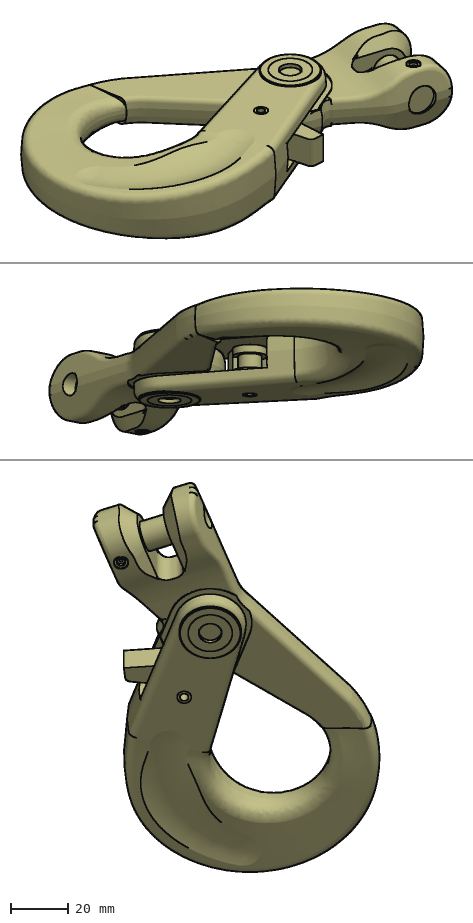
import cadquery as cq
import math


RING_CENTRE_Y = -60.6
HOLE_RADIUS = 21.0
RIM_CENTRE = (7.4, -61.83)
RIM_RADIUS = 44.88
RING_START = 35.0
RING_DRAFT = 4.0
RING_SECTIONS = (
    (RING_START, 11.2, 0.0, 3.0),
    (15.0, 11.5, 0.5, 3.5),
    (0.0, 11.6, 0.9, 4.0),
    (-30.0, 9.6, 0.7, 4.5),
    (-60.0, 8.0, 0.3, 5.0),
    (-90.0, 7.2, 0.0, 5.0),
    (-125.0, 6.9, 0.0, 4.8),
    (-157.0, 6.4, 0.0, 4.4),
    (-203.0, 5.9, 0.0, 4.0),
)
RIM_ROUNDING = 2.8

FORK_HALF = 11.2
FORK_END_RADIUS = 13.0
FORK_OUTER_LEAN = 39.8
FORK_ROUNDING = 2.8
SLOT_HALF = 5.75
SLOT_REACH = 20.0
SLOT_LENGTH = 38.3
PAD_HALF = 11.6
PAD_RADIUS = 10.9
PAD_CHAMFER = 0.35

RECESS_PATH_RADIUS = 37.6
RECESS_ANGLES = (-55.0, 36.0)
RECESS_TUBE_RADIUS = 24.0
RECESS_FLOOR = 8.9
RECESS_TILT = 3.4

LEVER_TOP = 51.9
LEVER_LEFT = -13.6
LEVER_RIGHT = 25.1
LEVER_HALF = 5.4
LEVER_DRAFT = 12.0
LEVER_ROUNDING = 2.0
SHOULDER_LEAN = 22.5
SHOULDER_LENGTH = 19.0
WAIST_TOP = 7.2
WAIST_START = (17.3, 3.8)
WAIST_MID = (16.4, 5.2)
TOOTH_X = 19.4
TOOTH_TOP = 1.7
TOOTH_BOTTOM = -3.1
KNEE_REACH = 2.4
ARM_INNER_LENGTH = 36.0
LEVER_HUB_RADIUS = 19.6
LEVER_ARM_LEAN = 22.3
HOLE_LEAN = 35.0
JOINT_POINT = (-20.6, -54.8)
JOINT_LEAN = 21.0
JOINT_GAP = 0.3
JOINT_OVERLAP = 5.0
HUB_RELIEF_RADIUS = 14.6
HUB_RELIEF_HALF = 4.9

EYE_Y = 39.0
EYE_HALF = 12.05
EYE_END_RADIUS = 10.4
EYE_SHOULDER_Y = 37.2
SHOULDER_RADIUS = 17.0
NECK_Y = 14.8
NECK_RADIUS = 22.0
NECK_SLOPE = 27.0
MOUTH_X = 5.0
MOUTH_HALF = 4.9
MOUTH_BOTTOM = 23.2
MOUTH_CORNER = 4.2
MOUTH_BEVEL_RADIUS = 8.1
MOUTH_BEVEL_REACH = 8.0

PIVOT_DIAMETER = 12.0
PIVOT_HOLE = 12.25
PIVOT_HEAD_DIAMETER = 15.5
PIVOT_HEAD_HEIGHT = 2.0
PIVOT_DIMPLE_DIAMETER = 8.0
PIVOT_DIMPLE_DEPTH = 1.5
CLEVIS_PIN_DIAMETER = 11.0
CLEVIS_PIN_ENDS = (-8.0, 23.6)
DRIFT_HOLE_DIAMETER = 8.0
ROLL_PIN_DIAMETER = 5.0
ROLL_PIN_BORE = 3.0
LOCK_PIN_X = 18.9
LOCK_PIN_HALF = 11.6
LOCK_PIN_CORE = 1.0
LOCK_PIN_RECESS = 1.2

TRIGGER_PIN = (18.1, -22.5)
TRIGGER_HALF = 5.5
TRIGGER_TAIL = (
    TRIGGER_PIN,
    (23.5, -19.0),
    (36.4, -12.6),
    (35.0, -7.1),
    (16.5, -12.3),
    (14.0, -18.0),
)
TRIGGER_TIP_ROUNDING = 2.2
TRIGGER_HUB_RADIUS = 6.0
TRIGGER_GROOVE_HALF = 2.7
TRIGGER_GROOVE_RADIUS = 4.2

STEEP = 0.9
TOLERANCE = 0.1
FAR = 200.0
OVERRUN = 15.0


def polar(centre, radius, degrees):
    angle = math.radians(degrees)
    return (centre[0] + radius * math.cos(angle), centre[1] + radius * math.sin(angle))


def heading(lean):
    """Unit vector that runs down the part, leaning from -Y towards +X."""
    return (math.sin(math.radians(lean)), -math.cos(math.radians(lean)))


def along(point, direction, distance):
    return (point[0] + direction[0] * distance, point[1] + direction[1] * distance)


def crossing(p, u, q, v):
    """Point where the line through p along u meets the line through q along v."""
    det = u[0] * v[1] - u[1] * v[0]
    t = ((q[0] - p[0]) * v[1] - (q[1] - p[1]) * v[0]) / det
    return along(p, u, t)


def cylinder(x, y, diameter, half):
    return cq.Workplane("XY", origin=(x, y, -half)).circle(diameter / 2).extrude(2 * half)


def drafted_plate(outline, half, draft):
    """Plate that is widest at the mid plane and leans in towards both faces."""
    upper = outline.extrude(half, taper=draft)
    return upper.union(upper.mirror("XY"))


def both_faces(radius, inner_half, outer_half):
    """Pair of discs about the pivot axis, one towards each face."""
    discs = cylinder(0, 0, 2 * radius, outer_half)
    return discs.cut(cylinder(0, 0, 2 * radius, inner_half))


RING_CENTRE = (0.0, RING_CENTRE_Y)
FORK_OUTER = heading(FORK_OUTER_LEAN)
FORK_OUTER_START = polar((0, 0), FORK_END_RADIUS, FORK_OUTER_LEAN)
FORK_INNER_FOOT = polar(RING_CENTRE, HOLE_RADIUS, RING_START)


def rim_distance(degrees):
    """Distance from the ring centre to the outer outline at a ring angle."""
    ray = (math.cos(math.radians(degrees)), math.sin(math.radians(degrees)))
    if degrees == RING_START:
        foot = crossing(RING_CENTRE, ray, FORK_OUTER_START, FORK_OUTER)
        return math.dist(foot, RING_CENTRE)
    x = RIM_CENTRE[0] - RING_CENTRE[0]
    y = RIM_CENTRE[1] - RING_CENTRE[1]
    projection = x * ray[0] + y * ray[1]
    return projection + math.sqrt(projection**2 - x**2 - y**2 + RIM_RADIUS**2)


def ring_section(degrees, half, drop, inner_rounding):
    """Closed section wire of the ring in the radial plane at one angle."""
    rim = rim_distance(degrees)
    rim_half = half - drop
    lean = math.tan(math.radians(RING_DRAFT))
    rim_side = rim - lean * (rim_half - RIM_ROUNDING)
    hole_side = HOLE_RADIUS + lean * (half - inner_rounding)
    bulge = 1 - math.sqrt(0.5)

    def halves(sign):
        outer_foot = (rim_side, sign * (rim_half - RIM_ROUNDING))
        outer_mid = (rim_side - bulge * RIM_ROUNDING, sign * (rim_half - bulge * RIM_ROUNDING))
        outer_top = (rim_side - RIM_ROUNDING, sign * rim_half)
        inner_top = (hole_side + inner_rounding, sign * half)
        inner_mid = (hole_side + bulge * inner_rounding, sign * (half - bulge * inner_rounding))
        inner_foot = (hole_side, sign * (half - inner_rounding))
        return outer_foot, outer_mid, outer_top, inner_top, inner_mid, inner_foot

    a, b, c, d, e, f = halves(1)
    g, h, i, j, k, m = halves(-1)
    direction = polar((0, 0), 1, degrees)
    plane = cq.Plane(
        origin=(*RING_CENTRE, 0),
        xDir=(*direction, 0),
        normal=(direction[1], -direction[0], 0),
    )
    outline = cq.Workplane(plane).moveTo(rim, 0).lineTo(*a).threePointArc(b, c)
    outline = outline.lineTo(*d).threePointArc(e, f).lineTo(HOLE_RADIUS, 0)
    outline = outline.lineTo(*m).threePointArc(k, j).lineTo(*i).threePointArc(h, g).close()
    return outline.val()


def joint_block(side):
    """Block across the arm on the lever side (1) or the tip side (-1) of the joint gap."""
    width = 45.0
    depth = 60.0
    block = cq.Workplane("XY").box(width, depth, FAR)
    block = block.translate((JOINT_OVERLAP - width / 2, side * (depth + JOINT_GAP * -side) / 2, 0))
    return block.rotate((0, 0, 0), (0, 0, 1), JOINT_LEAN).translate((*JOINT_POINT, 0))


def finger_recess():
    """Shallow rounded trough that follows the ring, with ball ends."""
    start, end = RECESS_ANGLES
    tube_height = RECESS_FLOOR + RECESS_TUBE_RADIUS
    trough = (
        cq.Workplane("XZ")
        .center(RECESS_PATH_RADIUS, tube_height)
        .circle(RECESS_TUBE_RADIUS)
        .revolve(end - start, (-RECESS_PATH_RADIUS, 0), (-RECESS_PATH_RADIUS, 1))
    )
    trough = trough.rotate((0, 0, 0), (0, 0, 1), end if trough.val().Center().y < 0 else start)
    for angle in RECESS_ANGLES:
        x, y = polar((0, 0), RECESS_PATH_RADIUS, angle)
        ball = cq.Workplane("XY", origin=(x, y, tube_height)).sphere(RECESS_TUBE_RADIUS)
        trough = trough.union(ball)
    return trough.rotate((0, 0, 0), (1, 0, 0), RECESS_TILT).translate((*RING_CENTRE, 0))


def build_fork():
    """Straight arm block that meets the ring on the radial plane at its start angle."""
    inner_start = polar((0, 0), FORK_END_RADIUS, 180 + RING_START)
    inner_end = along(FORK_INNER_FOOT, heading(RING_START), OVERRUN)
    outer_end = along(FORK_OUTER_START, FORK_OUTER, SLOT_LENGTH + OVERRUN)
    outline = (
        cq.Workplane("XY")
        .moveTo(*FORK_OUTER_START)
        .lineTo(*outer_end)
        .lineTo(*inner_end)
        .lineTo(*inner_start)
        .threePointArc(polar((0, 0), FORK_END_RADIUS, 125), FORK_OUTER_START)
        .close()
    )
    fork = drafted_plate(outline, FORK_HALF, RING_DRAFT)
    fork = fork.faces("|Z").edges().fillet(FORK_ROUNDING)
    beyond_seam = cq.Workplane("XY").box(FAR, FAR, FAR).translate((0, -FAR / 2, 0))
    beyond_seam = beyond_seam.rotate((0, 0, 0), (0, 0, 1), RING_START).translate((*RING_CENTRE, 0))
    return fork.cut(beyond_seam)


def pivot_heads():
    return both_faces(PIVOT_HEAD_DIAMETER / 2, PAD_HALF - PIVOT_HEAD_HEIGHT, PAD_HALF)


def build_hook():
    """Ring with a two-armed fork that carries the pivot."""
    ring = cq.Workplane(cq.Solid.makeLoft([ring_section(*section) for section in RING_SECTIONS]))
    pads = cylinder(0, 0, 2 * PAD_RADIUS, PAD_HALF).faces("|Z").chamfer(PAD_CHAMFER)
    hook = ring.union(build_fork()).union(pads)
    hook = hook.cut(joint_block(1))
    recess = finger_recess()
    hook = hook.cut(recess).cut(recess.mirror("XY"))
    slot = cq.Workplane("XY").box(2 * SLOT_REACH, FAR, 2 * SLOT_HALF)
    slot = slot.translate((0, FAR / 2 - SLOT_LENGTH, 0))
    hook = hook.cut(slot.rotate((0, 0, 0), (0, 0, 1), FORK_OUTER_LEAN))
    hook = hook.cut(cylinder(0, 0, PIVOT_HOLE, FAR))
    hook = hook.cut(pivot_heads())
    return hook.cut(cylinder(*TRIGGER_PIN, ROLL_PIN_DIAMETER, FAR))


def build_pivot():
    pivot = cylinder(0, 0, PIVOT_DIAMETER, PAD_HALF).union(pivot_heads())
    return pivot.cut(both_faces(PIVOT_DIMPLE_DIAMETER / 2, PAD_HALF - PIVOT_DIMPLE_DEPTH, PAD_HALF))


def lever_outline():
    arm = heading(-LEVER_ARM_LEAN)
    rim_start = polar(RIM_CENTRE, RIM_RADIUS, 162)
    knee = crossing((LEVER_LEFT, 0), (0, 1), rim_start, arm)
    inner_foot = polar(RING_CENTRE, HOLE_RADIUS, 180 - HOLE_LEAN)
    inner_top = along(inner_foot, heading(-HOLE_LEAN), -ARM_INNER_LENGTH)
    slope = math.radians(NECK_SLOPE)
    bend_end = (LEVER_RIGHT, EYE_SHOULDER_Y - SHOULDER_RADIUS * math.sin(slope))
    bend_start_y = NECK_Y + NECK_RADIUS * math.sin(slope)
    bend_width = (bend_end[1] - bend_start_y) * math.tan(math.radians(SHOULDER_LEAN / 2))
    bend_start = (LEVER_RIGHT - bend_width, bend_start_y)
    waist_end = along(bend_start, heading(-SHOULDER_LEAN), SHOULDER_LENGTH)
    return (
        cq.Workplane("XY")
        .moveTo(LEVER_LEFT, LEVER_TOP + OVERRUN)
        .lineTo(LEVER_LEFT, knee[1] + KNEE_REACH)
        .tangentArcPoint(along(knee, arm, KNEE_REACH), relative=False)
        .lineTo(*rim_start)
        .threePointArc(polar(RIM_CENTRE, RIM_RADIUS, 175), polar(RIM_CENTRE, RIM_RADIUS, 188))
        .lineTo(*polar(RING_CENTRE, HOLE_RADIUS, 180))
        .threePointArc(polar(RING_CENTRE, HOLE_RADIUS, 162), inner_foot)
        .lineTo(*inner_top)
        .threePointArc(polar((0, 0), LEVER_HUB_RADIUS, -45), (TOOTH_X, TOOTH_BOTTOM))
        .lineTo(TOOTH_X, TOOTH_TOP)
        .lineTo(*WAIST_START)
        .threePointArc(WAIST_MID, waist_end)
        .lineTo(*bend_start)
        .tangentArcPoint(bend_end, relative=False)
        .lineTo(LEVER_RIGHT, LEVER_TOP + OVERRUN)
        .close()
    )


def lever_side_profile():
    """Side outline: round clevis eye that sweeps down into the flat lever."""
    slope = math.radians(NECK_SLOPE)
    half_slope = slope / 2
    eye_centre = (LEVER_TOP - EYE_END_RADIUS, EYE_HALF - EYE_END_RADIUS)

    def shoulder(angle, sign):
        y = EYE_SHOULDER_Y - SHOULDER_RADIUS * math.sin(angle)
        return (y, sign * (EYE_HALF - SHOULDER_RADIUS * (1 - math.cos(angle))))

    def neck(angle, sign):
        y = NECK_Y + NECK_RADIUS * math.sin(angle)
        return (y, sign * (LEVER_HALF + NECK_RADIUS * (1 - math.cos(angle))))

    def eye(angle, sign):
        y, z = polar(eye_centre, EYE_END_RADIUS, angle)
        return (y, sign * z)

    return (
        cq.Workplane("YZ", origin=(-FAR / 2, 0, 0))
        .moveTo(*eye(0, 1))
        .threePointArc(eye(45, 1), eye(90, 1))
        .lineTo(EYE_SHOULDER_Y, EYE_HALF)
        .threePointArc(shoulder(half_slope, 1), shoulder(slope, 1))
        .lineTo(*neck(slope, 1))
        .threePointArc(neck(half_slope, 1), neck(0, 1))
        .lineTo(-FAR, LEVER_HALF)
        .lineTo(-FAR, -LEVER_HALF)
        .lineTo(*neck(0, -1))
        .threePointArc(neck(half_slope, -1), neck(slope, -1))
        .lineTo(*shoulder(slope, -1))
        .threePointArc(shoulder(half_slope, -1), shoulder(0, -1))
        .lineTo(*eye(90, -1))
        .threePointArc(eye(45, -1), eye(0, -1))
        .close()
        .extrude(FAR)
    )


def clevis_mouth():
    return (
        cq.Workplane("XY", origin=(MOUTH_X, MOUTH_BOTTOM + FAR / 2, 0))
        .box(2 * MOUTH_HALF, FAR, FAR)
        .edges("|Z and <Y")
        .fillet(MOUTH_CORNER)
    )


def mouth_bevels():
    """45 degree bevels round the inner faces of both eyes, running straight down the neck."""
    top = MOUTH_BEVEL_RADIUS + MOUTH_BEVEL_REACH
    upper_half = cq.Workplane("XY").box(FAR, FAR, FAR).translate((0, EYE_Y + FAR / 2, 0))
    bevels = cq.Workplane("XY")
    for side in (-1, 1):
        wall = side * MOUTH_HALF
        deep = wall + side * MOUTH_BEVEL_REACH
        cone = (
            cq.Workplane("XY", origin=(MOUTH_X, EYE_Y, 0))
            .polyline([(wall, MOUTH_BEVEL_RADIUS), (deep, top), (wall, top)])
            .close()
            .revolve(360, (0, 0), (1, 0))
        )
        bevels = bevels.add(cone.intersect(upper_half))
        for face in (-1, 1):
            run = (
                cq.Workplane("XZ", origin=(MOUTH_X, EYE_Y, 0))
                .polyline([(wall, face * MOUTH_BEVEL_RADIUS), (deep, face * top), (wall, face * top)])
                .close()
                .extrude(EYE_Y - MOUTH_BOTTOM)
            )
            bevels = bevels.add(run)
    return bevels.combine()


def lever_blank():
    """Rounded lever body: a straight band round the mid plane with drafted flanks above and below."""
    profile = lever_side_profile()
    band_half = EYE_HALF - EYE_END_RADIUS
    flank = lever_outline().extrude(EYE_HALF, taper=LEVER_DRAFT).translate((0, 0, band_half))
    flank = flank.intersect(profile)
    above = cq.Workplane("XY").box(FAR, FAR, FAR).translate((0, WAIST_TOP + FAR / 2, 0))

    clevis = flank.intersect(above)
    clevis_rims = []
    for edge in clevis.edges("not(|X)").vals():
        in_eye = edge.Center().y > EYE_Y
        upright = abs(edge.tangentAt(0.5).z) > STEEP
        if edge.Center().z > LEVER_HALF - TOLERANCE and (in_eye or not upright):
            clevis_rims.append(edge)
    clevis = clevis.newObject(clevis_rims).fillet(LEVER_ROUNDING)

    arm = flank.cut(above)
    arm_rims = [edge for edge in arm.faces(">Z").edges("not(|X)").vals() if edge.Center().x < 0]
    tip_end = arm.faces(">Z").edges("<Y").vals()
    arm_rims = [edge for edge in arm_rims if not any(edge.isSame(end) for end in tip_end)]
    arm = arm.newObject(arm_rims).fillet(LEVER_ROUNDING)

    flank = clevis.union(arm)
    band = lever_outline().extrude(band_half, both=True).intersect(profile)
    band = band.edges("|Z and >Y").fillet(LEVER_ROUNDING)
    return band.union(flank).union(flank.mirror("XY"))


def hub_relief():
    """Shallow relief on both lever faces where the fork arms pass."""
    length = 2 * SLOT_LENGTH
    relief = (
        cq.Workplane("XY", origin=(0, 0, HUB_RELIEF_HALF))
        .center(0, -length / 2)
        .slot2D(length + 2 * HUB_RELIEF_RADIUS, 2 * HUB_RELIEF_RADIUS, 90)
        .extrude(FAR)
        .rotate((0, 0, 0), (0, 0, 1), FORK_OUTER_LEAN)
    )
    return relief.union(relief.mirror("XY"))


def rod_along_x(diameter, start, end):
    return cq.Workplane("YZ", origin=(start, EYE_Y, 0)).circle(diameter / 2).extrude(end - start)


def build_lever():
    lever = lever_blank()
    lever = lever.cut(clevis_mouth()).cut(mouth_bevels()).cut(hub_relief()).cut(joint_block(-1))
    lever = lever.cut(cylinder(0, 0, PIVOT_HOLE, FAR))
    lever = lever.cut(rod_along_x(DRIFT_HOLE_DIAMETER, -FAR, FAR))
    lever = lever.cut(rod_along_x(CLEVIS_PIN_DIAMETER, CLEVIS_PIN_ENDS[0], FAR))
    return lever.cut(cylinder(LOCK_PIN_X, EYE_Y, ROLL_PIN_DIAMETER, FAR))


def build_clevis_pin():
    pin = rod_along_x(CLEVIS_PIN_DIAMETER, *CLEVIS_PIN_ENDS)
    return pin.cut(cylinder(LOCK_PIN_X, EYE_Y, ROLL_PIN_DIAMETER, FAR))


def build_lock_pin():
    """Coiled pin that keeps the clevis pin in place, hollow at both ends."""
    pin = cylinder(LOCK_PIN_X, EYE_Y, ROLL_PIN_DIAMETER, LOCK_PIN_HALF)
    bore = cylinder(LOCK_PIN_X, EYE_Y, ROLL_PIN_BORE, LOCK_PIN_HALF)
    bore = bore.cut(cylinder(LOCK_PIN_X, EYE_Y, ROLL_PIN_BORE, LOCK_PIN_HALF - LOCK_PIN_RECESS))
    return pin.cut(bore).cut(cylinder(LOCK_PIN_X, EYE_Y, LOCK_PIN_CORE, LOCK_PIN_HALF))


def build_trigger():
    tail = (
        cq.Workplane("XY", origin=(0, 0, -TRIGGER_HALF))
        .polyline(TRIGGER_TAIL)
        .close()
        .extrude(2 * TRIGGER_HALF)
        .edges("|Z and >X")
        .fillet(TRIGGER_TIP_ROUNDING)
    )
    hub = cylinder(*TRIGGER_PIN, 2 * TRIGGER_HUB_RADIUS, TRIGGER_HALF)
    groove = cylinder(*TRIGGER_PIN, 2 * TRIGGER_HUB_RADIUS, TRIGGER_GROOVE_HALF)
    groove = groove.cut(cylinder(*TRIGGER_PIN, 2 * TRIGGER_GROOVE_RADIUS, TRIGGER_GROOVE_HALF))
    trigger = hub.cut(groove).union(tail)
    return trigger.cut(cylinder(*TRIGGER_PIN, ROLL_PIN_DIAMETER, FAR))


def build_trigger_pin():
    pin = cylinder(*TRIGGER_PIN, ROLL_PIN_DIAMETER, FORK_HALF)
    return pin.cut(cylinder(*TRIGGER_PIN, ROLL_PIN_BORE, FORK_HALF))


hook = build_hook()
lever = build_lever()
pivot = build_pivot()
clevis_pin = build_clevis_pin()
lock_pin = build_lock_pin()
trigger = build_trigger()
trigger_pin = build_trigger_pin()

bodies = [hook, lever, pivot, clevis_pin, lock_pin, trigger, trigger_pin]
result = cq.Compound.makeCompound([solid for body in bodies for solid in body.solids().vals()])